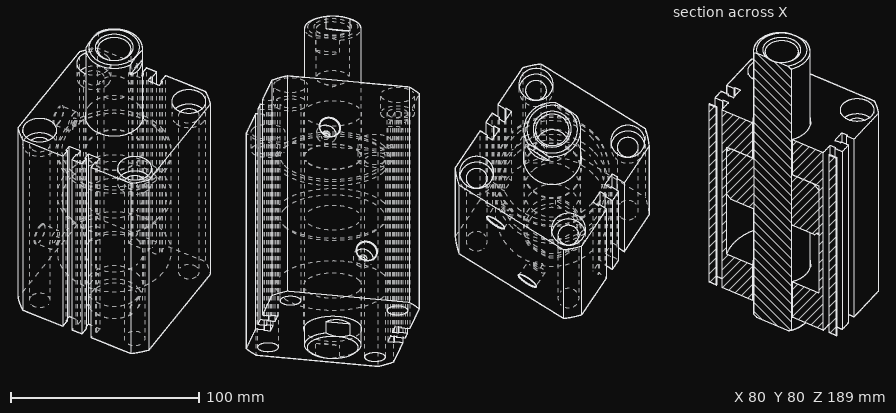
import cadquery as cq
import math

width = 80.0
housing_height = 127.0
corner_round_diameter = 103.8

mount_spacing = 58.0
mount_diameter = 11.0
counterbore_diameter = 18.0
counterbore_depth = 10.8

slot_offset = 5.9
slot_neck_width = 5.5
slot_head_width = 7.0
slot_depth = 8.1
slot_neck_depth = 4.7

port_offset = 10.0
port_inset = 28.0
port_diameter = 10.8
port_mouth_diameter = 11.5
port_depth = 9.0
port_passage_diameter = 4.0

rod_diameter = 30.0
rod_clearance = 0.4
total_length = 189.0
rod_lower_length = 11.0
rod_upper_length = total_length - housing_height - rod_lower_length
upper_chamfer_width = 1.7
upper_chamfer_height = 1.0
lower_chamfer = 1.5

flat_width = 27.0
flat_shoulder_height = 1.1
upper_flat_length = 8.1
lower_flat_length = 8.1

thread_diameter = 17.5
thread_mouth_diameter = 20.0
thread_depth = 30.0
drill_point_angle = 118.0

chamber_diameter = 60.5
chamber_overrun = 2.5
piston_chamfer = chamber_overrun

rod_bottom = -rod_lower_length
rod_top = housing_height + rod_upper_length
port_low_z = port_inset
port_high_z = housing_height - port_inset
chamber_bottom = port_low_z - chamber_overrun
chamber_top = port_high_z + chamber_overrun
stroke = rod_upper_length - rod_lower_length
piston_height = chamber_top - chamber_bottom - stroke
piston_bottom = chamber_top - piston_height


def cylinder(diameter, bottom, top):
    """Upright cylinder on the Z axis."""
    return cq.Workplane("XY").workplane(offset=bottom).circle(diameter / 2).extrude(top - bottom)


def slot_cutter(x, side):
    """T-slot along the full housing height; side is -1 or +1 for the -Y or +Y face."""
    neck = cq.Workplane("XY").box(slot_neck_width, slot_depth, housing_height, centered=(True, True, False))
    neck = neck.translate((x, side * (width - slot_depth) / 2, 0))
    head_depth = slot_depth - slot_neck_depth
    head_y = width / 2 - slot_depth + head_depth / 2
    head = cq.Workplane("XY").box(slot_head_width, head_depth, housing_height, centered=(True, True, False))
    return neck.union(head.translate((x, side * head_y, 0)))


def port_cutter(y, z):
    """Port with a bevelled mouth and a narrow passage into the chamber, drilled along +X."""
    mouth_bevel = (port_mouth_diameter - port_diameter) / 2
    profile = [
        (0, 0),
        (0, port_mouth_diameter / 2),
        (mouth_bevel, port_diameter / 2),
        (port_depth, port_diameter / 2),
        (port_depth, port_passage_diameter / 2),
        (width / 2 - rod_diameter / 2, port_passage_diameter / 2),
        (width / 2 - rod_diameter / 2, 0),
    ]
    cutter = cq.Workplane("XY").polyline(profile).close().revolve(360, (0, 0, 0), (1, 0, 0))
    return cutter.translate((-width / 2, y, z))


def make_housing():
    block = cq.Workplane("XY").rect(width, width).extrude(housing_height)
    block = block.intersect(cylinder(corner_round_diameter, 0, housing_height))
    block = (
        block.faces(">Z").workplane(origin=(0, 0, housing_height))
        .rect(mount_spacing, mount_spacing, forConstruction=True).vertices()
        .cboreHole(mount_diameter, counterbore_diameter, counterbore_depth)
    )
    for x in (-slot_offset, slot_offset):
        for side in (-1, 1):
            block = block.cut(slot_cutter(x, side))
    block = block.cut(cylinder(rod_diameter + 2 * rod_clearance, 0, housing_height))
    block = block.cut(cylinder(chamber_diameter, chamber_bottom, chamber_top))
    block = block.cut(port_cutter(port_offset, port_high_z))
    return block.cut(port_cutter(-port_offset, port_low_z))


def flat_cutter(side, end_z, length, inward):
    """Wrench flat from a rod end; side picks -X or +X, inward is the Z direction into the rod."""
    flat_x = flat_width / 2
    outer_x = rod_diameter / 2
    shoulder_z = end_z + inward * length
    profile = [
        (side * flat_x, end_z),
        (side * flat_x, shoulder_z),
        (side * outer_x, shoulder_z + inward * flat_shoulder_height),
        (side * outer_x, end_z),
    ]
    return cq.Workplane("XZ").polyline(profile).close().extrude(rod_diameter / 2, both=True)


def thread_hole_cutter():
    """Blind hole with a bevelled mouth and a conical drill point."""
    radius = thread_diameter / 2
    mouth_radius = thread_mouth_diameter / 2
    point_height = radius / math.tan(math.radians(drill_point_angle / 2))
    profile = [
        (0, rod_top),
        (mouth_radius, rod_top),
        (radius, rod_top - (mouth_radius - radius)),
        (radius, rod_top - thread_depth),
        (0, rod_top - thread_depth - point_height),
    ]
    return cq.Workplane("XZ").polyline(profile).close().revolve(360, (0, 0, 0), (0, 1, 0))


def make_rod():
    radius = rod_diameter / 2
    profile = [
        (0, rod_bottom),
        (radius - lower_chamfer, rod_bottom),
        (radius, rod_bottom + lower_chamfer),
        (radius, rod_top - upper_chamfer_height),
        (radius - upper_chamfer_width, rod_top),
        (0, rod_top),
    ]
    shaft = cq.Workplane("XZ").polyline(profile).close().revolve(360, (0, 0, 0), (0, 1, 0))
    for side in (-1, 1):
        shaft = shaft.cut(flat_cutter(side, rod_top, upper_flat_length, -1))
        shaft = shaft.cut(flat_cutter(side, rod_bottom, lower_flat_length, 1))
    return shaft.cut(thread_hole_cutter())


def make_piston():
    """Ring around the rod that fills the chamber bore, bevelled at both outer edges."""
    ring = cylinder(chamber_diameter, piston_bottom, chamber_top)
    ring = ring.faces("<Z or >Z").edges().chamfer(piston_chamfer)
    return ring.cut(cylinder(rod_diameter, piston_bottom, chamber_top))


housing = make_housing()
rod = make_rod()
piston = make_piston()

result = cq.Compound.makeCompound([housing.val(), rod.val(), piston.val()])